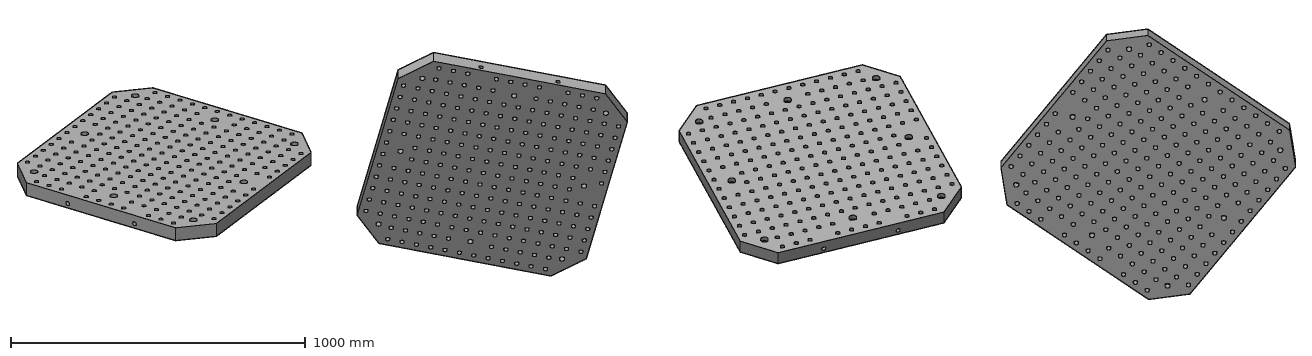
import cadquery as cq
import math

plate_size = 800.0
grid_count = 16
pitch = plate_size / grid_count
thickness = pitch
corner_cut = 2 * pitch

grid_diameter = 14.0

mount_offset = 320.0
mount_diameter = 18.0
counterbore_diameter = 26.0
counterbore_depth = 17.0

side_hole_offset = 134.0
side_hole_column = 5
side_hole_height = 18.0
side_hole_diameter = 14.0
side_hole_depth = 40.0
drill_point_angle = 118.0


def grid_coordinate(index):
    """Position of a grid row or column, counted from 0 on the negative side."""
    return (index - (grid_count - 1) / 2) * pitch


def grid_points():
    """Centres of the grid holes, leaving out those that meet other features."""
    last = grid_count - 1
    outer_pair = {0, 1, last - 1, last}
    middle_pair = {grid_count // 2 - 1, grid_count // 2}
    second_from_edge = {1, last - 1}
    above_side_holes = {(side_hole_column, 0), (last - side_hole_column, 0)}
    beside_right_mount = (last, grid_count // 2)

    left_out = {(column, row) for column in outer_pair for row in outer_pair}
    left_out |= {(column, row) for column in middle_pair for row in second_from_edge}
    left_out |= {(column, row) for column in second_from_edge for row in middle_pair}
    left_out |= above_side_holes
    left_out.add(beside_right_mount)

    return [
        (grid_coordinate(column), grid_coordinate(row))
        for column in range(grid_count)
        for row in range(grid_count)
        if (column, row) not in left_out
    ]


def mount_points():
    """Centres of the mounting holes: a 3 x 3 pattern without its middle."""
    steps = (-mount_offset, 0, mount_offset)
    return [(x, y) for x in steps for y in steps if (x, y) != (0, 0)]


def side_drill(x):
    """Solid swept by a pointed drill entering the -Y side at x."""
    radius = side_hole_diameter / 2
    point_length = radius / math.tan(math.radians(drill_point_angle / 2))
    entry = -plate_size / 2
    shoulder = entry + side_hole_depth
    return (
        cq.Workplane("XY")
        .polyline([(0, entry), (radius, entry), (radius, shoulder), (0, shoulder + point_length)])
        .close()
        .revolve(360, (0, 0), (0, 1))
        .translate((x, 0, side_hole_height))
    )


plate = (
    cq.Workplane("XY")
    .box(plate_size, plate_size, thickness, centered=(True, True, False))
    .edges("|Z")
    .chamfer(corner_cut)
)

plate = plate.faces(">Z").workplane(origin=(0, 0, 0)).pushPoints(grid_points()).hole(grid_diameter)

plate = (
    plate.faces(">Z")
    .workplane(origin=(0, 0, 0))
    .pushPoints(mount_points())
    .cboreHole(mount_diameter, counterbore_diameter, counterbore_depth)
)

for side_hole_x in (-side_hole_offset, side_hole_offset):
    plate = plate.cut(side_drill(side_hole_x))

result = plate